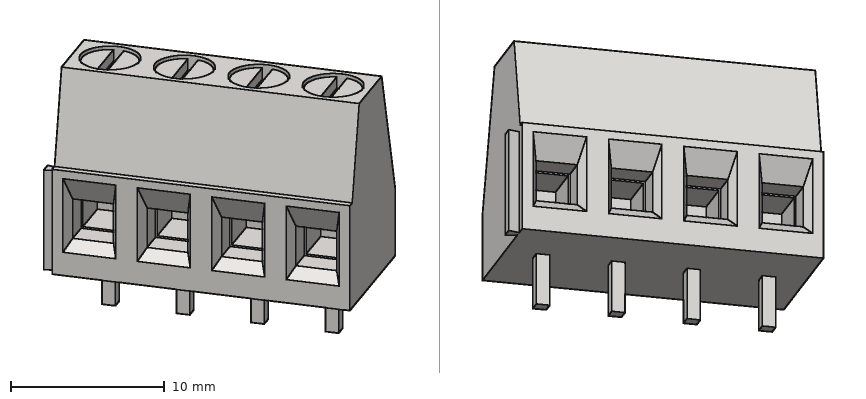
import cadquery as cq

pole_count = 4
pitch = 5.08
body_length = pole_count * pitch
body_depth = 9.8
body_height = 13.8
lip_depth = 0.5
lip_height = 7.4
top_front_y = 2.0
top_back_y = 6.85
back_wall_height = 4.63

overall_length = 21.05
rib_length = overall_length - body_length
rib_height = 7.01
rib_center_y = 1.0
rib_tip_width = 0.9
rib_root_width = 0.5

funnel_width = 3.6
funnel_bottom_z = 1.65
funnel_top_z = 6.82
funnel_depth = 0.8
passage_width = 2.78
passage_center_z = 3.75
passage_end_y = 2.6
clamp_width = 2.53
clamp_end_y = 5.69

screw_y = (top_front_y + top_back_y) / 2
well_diameter = 4.0
head_diameter = 3.8
head_recess = 0.2
slot_width = 0.7
slot_depth = 0.8
well_depth = 2.0

pin_width = 0.9
overall_height = 17.3
pin_length = overall_height - body_height
pin_y = 4.6

pole_centers = [(index + 0.5) * pitch for index in range(pole_count)]


def make_body():
    """Housing profile in the YZ plane, extruded along the row of poles."""
    profile = [
        (0, 0),
        (body_depth, 0),
        (body_depth, back_wall_height),
        (top_back_y, body_height),
        (top_front_y, body_height),
        (lip_depth, lip_height),
        (0, lip_height),
    ]
    return cq.Workplane("YZ").polyline(profile).close().extrude(body_length)


def make_rib():
    """Dovetail rib, wider at its tip than at the housing wall."""
    outline = [
        (0, rib_center_y - rib_root_width / 2),
        (0, rib_center_y + rib_root_width / 2),
        (-rib_length, rib_center_y + rib_tip_width / 2),
        (-rib_length, rib_center_y - rib_tip_width / 2),
    ]
    return cq.Workplane("XY").polyline(outline).close().extrude(rib_height)


def square_tunnel(x, width, end_y):
    """Square cutter from the wire side back to end_y."""
    return (
        cq.Workplane("XZ")
        .center(x, passage_center_z)
        .rect(width, width)
        .extrude(-end_y)
    )


def make_wire_entry(x):
    """Cutter for one wire entry."""
    funnel_height = funnel_top_z - funnel_bottom_z
    funnel_center_z = (funnel_top_z + funnel_bottom_z) / 2
    funnel = (
        cq.Workplane("XZ")
        .center(x, funnel_center_z)
        .rect(funnel_width, funnel_height)
        .workplane(offset=-funnel_depth)
        .center(0, passage_center_z - funnel_center_z)
        .rect(passage_width, passage_width)
        .loft(ruled=True)
    )
    passage = square_tunnel(x, passage_width, passage_end_y)
    clamp_opening = square_tunnel(x, clamp_width, clamp_end_y)
    return funnel.union(passage).union(clamp_opening)


def make_screw_well(x):
    """Cutter that leaves a recessed, slotted screw head standing in its well."""
    well = (
        cq.Workplane("XY", origin=(x, screw_y, body_height - well_depth))
        .circle(well_diameter / 2)
        .extrude(well_depth)
    )
    head = (
        cq.Workplane("XY", origin=(x, screw_y, body_height - well_depth))
        .circle(head_diameter / 2)
        .extrude(well_depth - head_recess)
    )
    slot = (
        cq.Workplane("XY", origin=(x, screw_y, body_height - head_recess))
        .rect(slot_width, head_diameter)
        .extrude(-slot_depth)
    )
    return well.cut(head.cut(slot))


def make_pin(x):
    """Square solder pin below the housing."""
    return (
        cq.Workplane("XY", origin=(x, pin_y, 0))
        .rect(pin_width, pin_width)
        .extrude(-pin_length)
    )


result = make_body().union(make_rib())
for pole_x in pole_centers:
    result = result.cut(make_wire_entry(pole_x))
    result = result.cut(make_screw_well(pole_x))
    result = result.union(make_pin(pole_x))